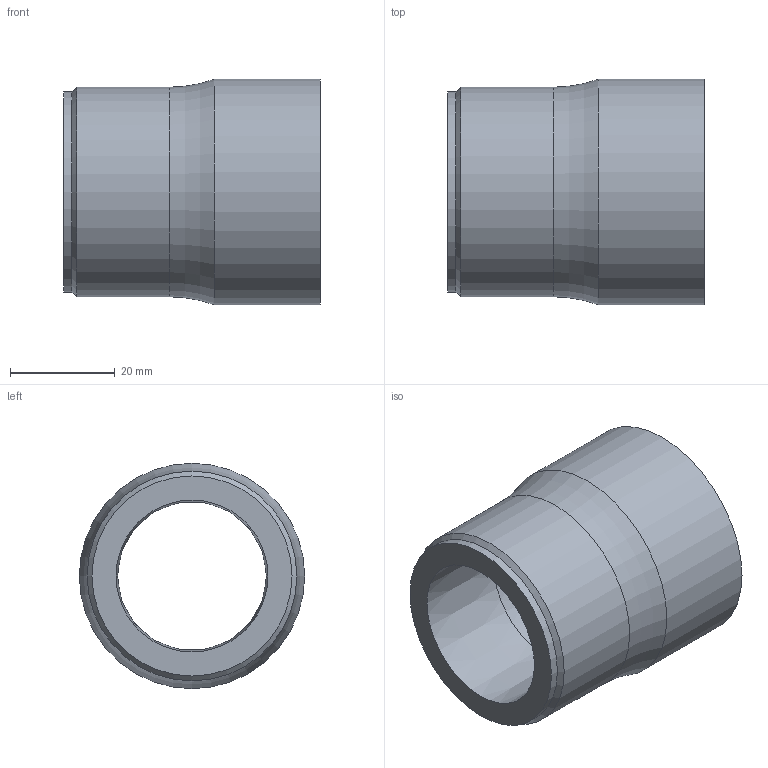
import cadquery as cq
import math

total_length = 49.0
lip_length = 1.6
small_body_end = 20.2

lip_diameter = 38.17
small_diameter = 40.0
large_diameter = 43.0
flare_radius = 25.0

entry_bore_diameter = 29.0
throat_diameter = 28.33
wide_bore_diameter = 32.0
throat_depth = 17.7

chamfer_end = lip_length + (small_diameter - lip_diameter) / 2

flare_rise = (large_diameter - small_diameter) / 2
flare_length = math.sqrt(2 * flare_radius * flare_rise - flare_rise**2)
flare_end = small_body_end + flare_length
flare_half_angle = math.asin(flare_length / flare_radius) / 2


def flare_midpoint():
    """Point halfway along the outer flare, as (x, radius)."""
    x = small_body_end + flare_radius * math.sin(flare_half_angle)
    radius = small_diameter / 2 + flare_radius * (1 - math.cos(flare_half_angle))
    return x, radius


def outer_body():
    """Solid of revolution bounded by the outside of the reducer."""
    profile = (
        cq.Workplane("XY")
        .lineTo(0, lip_diameter / 2)
        .lineTo(lip_length, lip_diameter / 2)
        .lineTo(chamfer_end, small_diameter / 2)
        .lineTo(small_body_end, small_diameter / 2)
        .threePointArc(flare_midpoint(), (flare_end, large_diameter / 2))
        .lineTo(total_length, large_diameter / 2)
        .lineTo(total_length, 0)
        .close()
    )
    return profile.revolve(360, (0, 0, 0), (1, 0, 0))


def bore():
    """Through bore: tapered entry, conical flare from the throat, wide cylinder."""
    profile = (
        cq.Workplane("XY")
        .lineTo(0, entry_bore_diameter / 2)
        .lineTo(throat_depth, throat_diameter / 2)
        .lineTo(flare_end, wide_bore_diameter / 2)
        .lineTo(total_length, wide_bore_diameter / 2)
        .lineTo(total_length, 0)
        .close()
    )
    return profile.revolve(360, (0, 0, 0), (1, 0, 0))


result = outer_body().cut(bore())